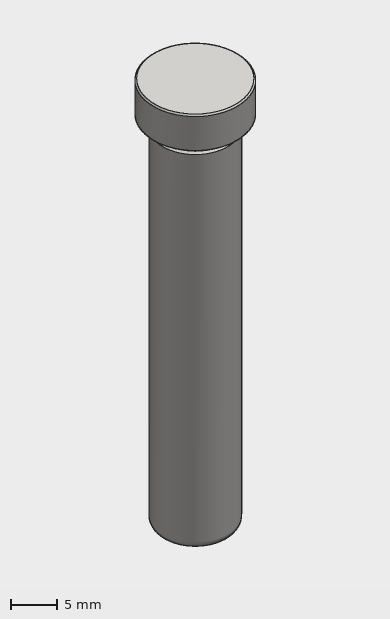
import cadquery as cq

total_length = 60.0
head_diameter = 13.0
head_height = 5.0
head_chamfer = 0.2
shank_diameter = 10.0
neck_diameter = 9.3
neck_length = 1.5
shoulder_rise = 0.2
tip_radius = 1.0

head_radius = head_diameter / 2
shank_radius = shank_diameter / 2
neck_radius = neck_diameter / 2
head_bottom = total_length - head_height
shank_top = head_bottom - neck_length


def make_pin():
    """Revolve the half profile of tip, shank, undercut neck and head about Z."""
    profile = (
        cq.Workplane("XZ")
        .lineTo(shank_radius - tip_radius, 0)
        .radiusArc((shank_radius, tip_radius), -tip_radius)
        .lineTo(shank_radius, shank_top)
        .lineTo(neck_radius, shank_top + shoulder_rise)
        .lineTo(neck_radius, head_bottom)
        .lineTo(head_radius, head_bottom)
        .lineTo(head_radius, total_length)
        .lineTo(0, total_length)
        .close()
    )
    return profile.revolve(360, (0, 0, 0), (0, 1, 0))


def chamfer_head(pin):
    """Break the outer edges on both faces of the head."""
    head_rims = cq.selectors.RadiusNthSelector(-1)
    return pin.edges("%CIRCLE").edges(head_rims).chamfer(head_chamfer)


result = chamfer_head(make_pin())